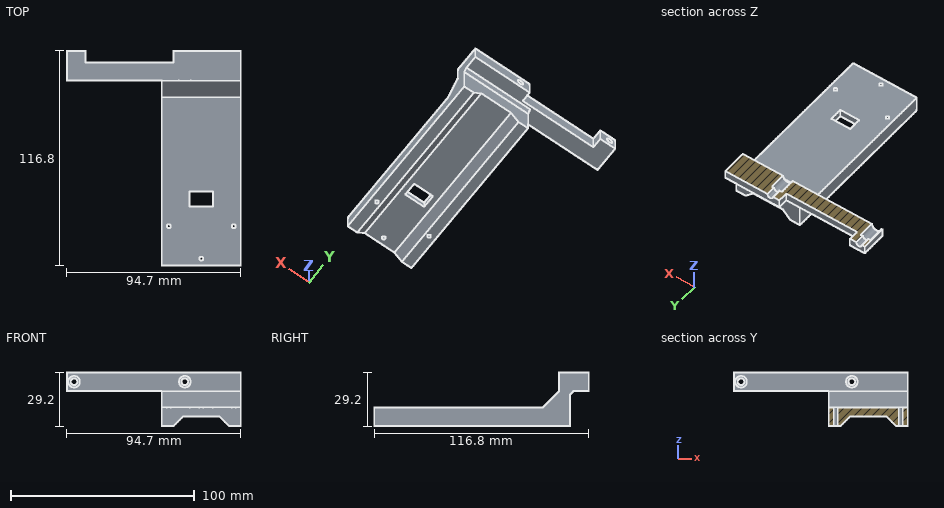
import cadquery as cq


total_width = 94.67
total_depth = 116.84
total_height = 29.21

plate_width = 43.18
plate_thickness = 10.16

bar_depth = 16.26
bar_height = 10.16
bar_left = plate_width - total_width
bar_front = total_depth - bar_depth
bar_bottom = total_height - bar_height

notch_depth = 6.35
notch_width = 47.7
end_tab_width = 10.16

riser_rise = bar_bottom - plate_thickness
riser_back = total_depth - 10.16
riser_back_overhang = 2.03

groove_depth = 5.08
groove_mouth_width = 30.2
groove_roof_width = groove_mouth_width - 2 * groove_depth
groove_center_x = plate_width / 2

window_width = 12.7
window_length = 8.1
window_front = 32.2

pin_hole_diameter = 2.03
pin_hole_front_margin = 3.81
pin_hole_circle_radius = 17.65

screw_hole_diameter = 3.56
counterbore_diameter = 6.35
counterbore_depth = 10.16
screw_inset = 3.9
screw_spacing = 60.2


def make_plate_and_riser():
    """Side profile in YZ, extruded across the plate width."""
    profile = [
        (0, 0),
        (riser_back, 0),
        (riser_back, bar_bottom - riser_back_overhang),
        (riser_back + riser_back_overhang, bar_bottom),
        (bar_front, bar_bottom),
        (bar_front - riser_rise, plate_thickness),
        (0, plate_thickness),
    ]
    return cq.Workplane("YZ").polyline(profile).close().extrude(plate_width)


def make_crossbar():
    bar = cq.Workplane("XY").box(total_width, bar_depth, bar_height, centered=False)
    bar = bar.translate((bar_left, bar_front, bar_bottom))
    notch = cq.Workplane("XY").box(notch_width, notch_depth, bar_height, centered=False)
    notch = notch.translate((bar_left + end_tab_width, total_depth - notch_depth, bar_bottom))
    return bar.cut(notch)


def make_groove():
    half_mouth = groove_mouth_width / 2
    half_roof = groove_roof_width / 2
    profile = [
        (groove_center_x - half_mouth, 0),
        (groove_center_x - half_roof, groove_depth),
        (groove_center_x + half_roof, groove_depth),
        (groove_center_x + half_mouth, 0),
    ]
    return cq.Workplane("XZ").polyline(profile).close().extrude(-riser_back)


def make_window():
    window = cq.Workplane("XY").box(window_width, window_length, plate_thickness, centered=False)
    return window.translate(((plate_width - window_width) / 2, window_front, 0))


def make_pin_holes():
    middle_x = plate_width / 2
    side_hole_y = pin_hole_front_margin + pin_hole_circle_radius
    centers = [
        (middle_x - pin_hole_circle_radius, side_hole_y),
        (middle_x + pin_hole_circle_radius, side_hole_y),
        (middle_x, pin_hole_front_margin),
    ]
    holes = cq.Workplane("XY").pushPoints(centers).circle(pin_hole_diameter / 2)
    return holes.extrude(plate_thickness)


def make_bar_cylinders(diameter, depth):
    """Cylinders at both screw positions, running back from the crossbar front."""
    screw_z = bar_bottom + bar_height / 2
    first_x = bar_left + screw_inset
    centers = [(first_x, screw_z), (first_x + screw_spacing, screw_z)]
    front_plane = cq.Workplane("XZ", origin=(0, bar_front, 0))
    return front_plane.pushPoints(centers).circle(diameter / 2).extrude(-depth)


result = make_plate_and_riser().union(make_crossbar())
result = result.cut(make_groove())
result = result.cut(make_window())
result = result.cut(make_pin_holes())
result = result.cut(make_bar_cylinders(screw_hole_diameter, bar_depth))
result = result.cut(make_bar_cylinders(counterbore_diameter, counterbore_depth))